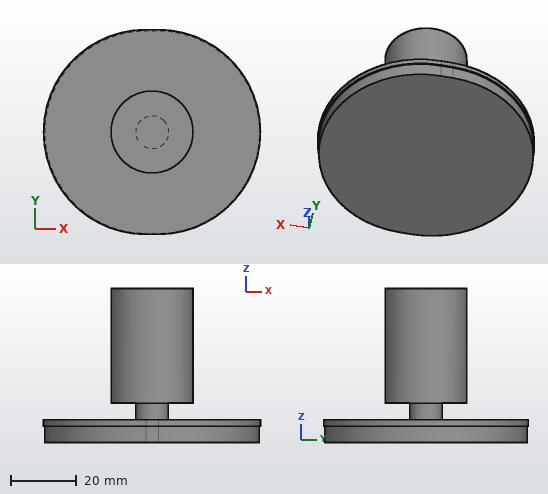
import cadquery as cq

length = 66.15
width = 62.45
height = 47.0

base_height = 5.0
rim_height = 2.0
rim_overhang = 0.3

neck_diameter = 10.0
neck_height = 5.0
grip_diameter = 25.0
grip_height = height - base_height - rim_height - neck_height


def rounded_plate(inset, thickness, bottom):
    """Plate with semicircular ends and short straight sides along X."""
    return (
        cq.Workplane("XY")
        .workplane(offset=bottom)
        .slot2D(length - 2 * inset, width - 2 * inset)
        .extrude(thickness)
    )


def post(diameter, post_height, bottom):
    """Upright cylinder on the Z axis."""
    return cq.Workplane("XY").workplane(offset=bottom).circle(diameter / 2).extrude(post_height)


plate_top = base_height + rim_height
neck_top = plate_top + neck_height

base = rounded_plate(rim_overhang, base_height, 0)
rim = rounded_plate(0, rim_height, base_height)
neck = post(neck_diameter, neck_height, plate_top)
grip = post(grip_diameter, grip_height, neck_top)

result = base.union(rim).union(neck).union(grip)